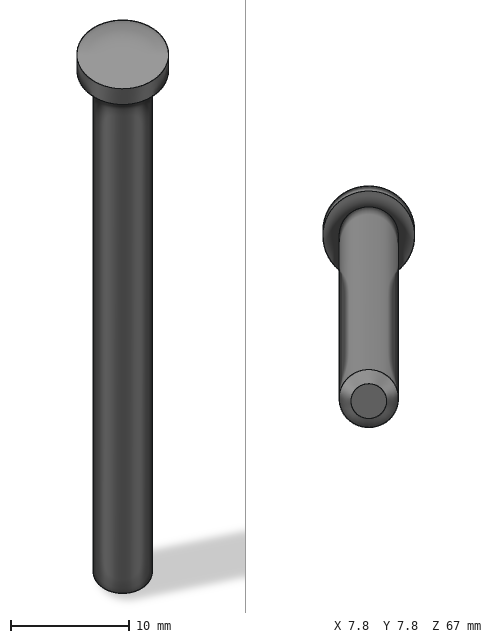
import cadquery as cq

total_length = 67.0
head_diameter = 7.8
head_thickness = 2.0
shank_diameter = 5.0
tip_diameter = 3.0
tip_height = 1.0

head_radius = head_diameter / 2
shank_radius = shank_diameter / 2
tip_radius = tip_diameter / 2
head_underside = total_length - head_thickness

profile = (
    cq.Workplane("XZ")
    .moveTo(0, 0)
    .lineTo(tip_radius, 0)
    .lineTo(shank_radius, tip_height)
    .lineTo(shank_radius, head_underside)
    .lineTo(head_radius, head_underside)
    .lineTo(head_radius, total_length)
    .lineTo(0, total_length)
    .close()
)

result = profile.revolve(360, (0, 0, 0), (0, 1, 0))